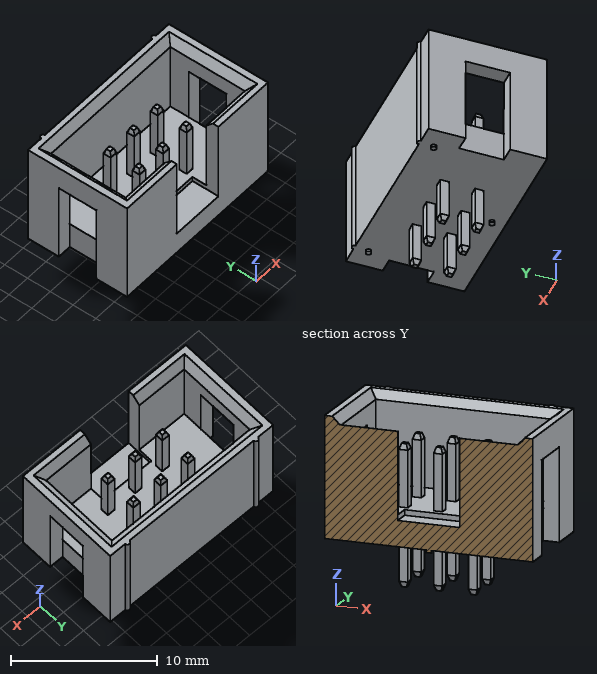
import cadquery as cq


length = 15.22
width = 8.7
height = 8.8
floor_top = 2.3
end_wall = 1.17
side_wall = 1.08
lead_in = 0.61

notch_width = 4.5
notch_depth = 2.28
notch_bottom = 1.9

slot_width = 3.27
slot_top = 6.8

columns = 3
rows = 2
pitch = 2.54
pin_size = 0.64
pin_tip_size = 0.35
pin_taper = 0.41
pin_top = 6.8
pin_bottom = -3.41

rib_radius = 0.2
standoff_radius = 0.2
standoff_height = 0.18
foot_x = 6.0
foot_y = 3.33

cavity_length = length - 2 * end_wall
cavity_width = width - 2 * side_wall
front_y = -width / 2
rear_y = width / 2


def block(size_x, size_y, bottom, top):
    """Upright box centered on the Z axis."""
    return cq.Workplane("XY").workplane(offset=bottom).rect(size_x, size_y).extrude(top - bottom)


def frustum(size_start, size_end, z_start, z_end):
    """Square block that tapers from one height to another."""
    return (
        cq.Workplane("XY")
        .workplane(offset=z_start)
        .rect(size_start, size_start)
        .workplane(offset=z_end - z_start)
        .rect(size_end, size_end)
        .loft(combine=True)
    )


def make_housing():
    """Open box with a beveled mouth."""
    body = block(length, width, 0, height)
    cavity = block(cavity_length, cavity_width, floor_top, height)
    mouth = (
        cq.Workplane("XY")
        .workplane(offset=height - lead_in)
        .rect(cavity_length, cavity_width)
        .workplane(offset=lead_in)
        .rect(cavity_length + 2 * lead_in, cavity_width + 2 * lead_in)
        .loft(combine=True)
    )
    return body.cut(cavity).cut(mouth)


def make_notch():
    """Cutter through the front wall that also sinks into the floor."""
    notch = block(notch_width, notch_depth, notch_bottom, height)
    return notch.translate((0, front_y + notch_depth / 2, 0))


def make_end_slot(side):
    """Cutter through the end wall on the given side of X, up to the floor's end face."""
    slot = block(end_wall, slot_width, 0, slot_top)
    return slot.translate((side * (length - end_wall) / 2, 0, 0))


def make_pin():
    """Square pin tapered at both ends."""
    upper_shoulder = pin_top - pin_taper
    lower_shoulder = pin_bottom + pin_taper
    shank = block(pin_size, pin_size, lower_shoulder, upper_shoulder)
    upper_tip = frustum(pin_size, pin_tip_size, upper_shoulder, pin_top)
    lower_tip = frustum(pin_tip_size, pin_size, pin_bottom, lower_shoulder)
    return shank.union(upper_tip).union(lower_tip)


def make_ribs():
    """Two full-height round ribs half sunk in the rear wall."""
    centers = [(-foot_x, rear_y), (foot_x, rear_y)]
    return cq.Workplane("XY").pushPoints(centers).circle(rib_radius).extrude(height)


def make_standoffs():
    """Three round feet: two at the rear corners, one at the front center."""
    centers = [(-foot_x, foot_y), (foot_x, foot_y), (0, -foot_y)]
    return cq.Workplane("XY").pushPoints(centers).circle(standoff_radius).extrude(-standoff_height)


header = make_housing().cut(make_notch())
for side in (-1, 1):
    header = header.cut(make_end_slot(side))

header = header.union(make_ribs()).union(make_standoffs())

pin = make_pin()
for column in range(columns):
    for row in range(rows):
        pin_x = (column - (columns - 1) / 2) * pitch
        pin_y = (row - (rows - 1) / 2) * pitch
        header = header.union(pin.translate((pin_x, pin_y, 0)))

result = header.translate((0, -rib_radius / 2, 0))